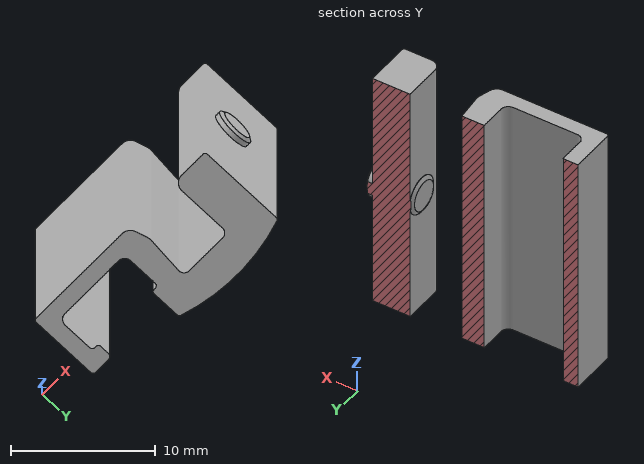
import cadquery as cq

length = 20.0
body_width = 17.0

left_wall = 1.25
channel_floor = 1.2
channel_right = 7.75
lip_end = 1.85
lip_underside = 4.4
left_height = 5.7
head_left = 7.15

head_shoulder = 7.0
head_crown = 7.8
head_mid = (head_left + body_width) / 2

groove_top = 5.2
groove_left = 9.5
groove_right = 13.87
ridge_x = 9.83
ridge_y = 1.6
mouth_left = 9.35

edge_radius = 0.2
lip_radius = 0.35
left_top_radius = 0.25
hook_radius = 0.25
channel_radius = 0.6
groove_radius = 0.5
mouth_radius = 0.8
ridge_radius = 1.2

pin_diameter = 3.0
pin_start = 13.65
pin_end = 17.6
pin_y = 2.5
pin_chamfer_depth = 0.2
pin_chamfer_width = 0.3


def make_body():
    profile = (
        cq.Workplane("XY")
        .moveTo(0, 0)
        .lineTo(0, left_height)
        .lineTo(lip_end, left_height)
        .lineTo(lip_end, lip_underside)
        .lineTo(left_wall, lip_underside)
        .lineTo(left_wall, channel_floor)
        .lineTo(channel_right, channel_floor)
        .lineTo(channel_right, lip_underside)
        .lineTo(head_left, lip_underside)
        .lineTo(head_left, head_shoulder)
        .threePointArc((head_mid, head_crown), (body_width, head_shoulder))
        .lineTo(body_width, 0)
        .lineTo(groove_right, 0)
        .lineTo(groove_right, groove_top)
        .lineTo(groove_left, groove_top)
        .lineTo(ridge_x, ridge_y)
        .lineTo(mouth_left, 0)
        .close()
    )
    return profile.extrude(length)


def round_corners(body, radius, corners):
    """Fillet the Z edges that stand at the given XY corners."""
    for x, y in corners:
        edge = cq.selectors.NearestToPointSelector((x, y, length / 2))
        body = body.edges("|Z").edges(edge).fillet(radius)
    return body


def make_pin():
    """Revolve the half section of the pin, chamfered at both ends, about its axis."""
    pin_length = pin_end - pin_start
    pin_radius = pin_diameter / 2
    end_radius = pin_radius - pin_chamfer_width
    half_section = (
        cq.Workplane("XY", origin=(pin_start, pin_y, length / 2))
        .moveTo(0, 0)
        .lineTo(0, end_radius)
        .lineTo(pin_chamfer_depth, pin_radius)
        .lineTo(pin_length - pin_chamfer_depth, pin_radius)
        .lineTo(pin_length, end_radius)
        .lineTo(pin_length, 0)
        .close()
    )
    return half_section.revolve(360, (0, 0, 0), (1, 0, 0))


corner_rounds = [
    (edge_radius, [(0, 0), (body_width, 0), (lip_end, lip_underside), (head_left, lip_underside),
                   (head_left, head_shoulder), (body_width, head_shoulder)]),
    (lip_radius, [(lip_end, left_height)]),
    (left_top_radius, [(0, left_height)]),
    (hook_radius, [(left_wall, lip_underside), (channel_right, lip_underside)]),
    (channel_radius, [(left_wall, channel_floor), (channel_right, channel_floor)]),
    (groove_radius, [(groove_left, groove_top), (groove_right, groove_top)]),
    (mouth_radius, [(groove_right, 0), (mouth_left, 0)]),
    (ridge_radius, [(ridge_x, ridge_y)]),
]

body = make_body()
for radius, corners in corner_rounds:
    body = round_corners(body, radius, corners)

result = body.union(make_pin())